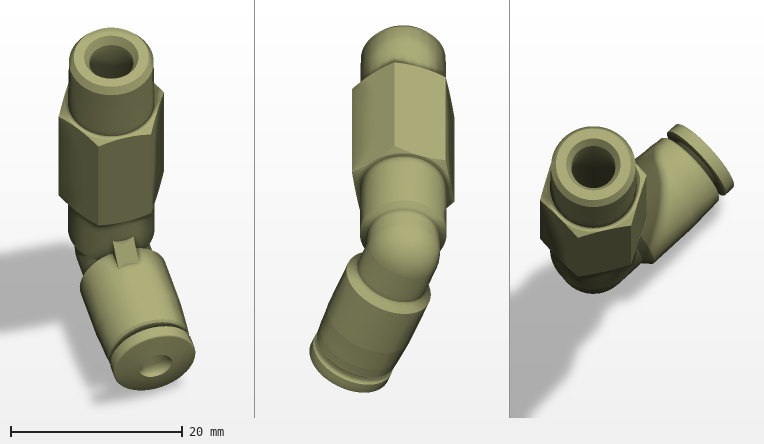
import cadquery as cq
import math

port_diameter = 10.5
overall_height = 41.25
top_z = overall_height - port_diameter / 2

thread_top_diameter = 9.9
thread_base_diameter = 10.15
thread_chamfer_height = 0.85
thread_chamfer_width = 0.58
hex_across_flats = 11.1
hex_bottom_z = 11.45
hex_top_z = 27.47
hex_chamfer_angle = 30.0
body_diameter = 10.15
body_bottom_z = 3.5
elbow_diameter = 8.6

port_start_x = 4.83
taper_start_x = 11.18
taper_line_x = 14.15
port_end_x = 15.75
port_end_chamfer = 0.25
taper_line_diameter = 10.15
port_end_diameter = 9.9
neck_diameter = 6.0
neck_flare_x = 16.15
collar_start_x = 16.62
collar_diameter = 10.0
collar_rim_x = 17.8
collar_rim_radius = 0.25
collar_end_x = 18.45

rib_width = 2.5
rib_corner_x = 7.15

bore_diameter = 5.15
bore_mouth_diameter = 6.35
bore_mouth_angle = 30.0
passage_diameter = 1.4
tube_socket_diameter = 3.95
tube_socket_floor_x = port_start_x


def elbow(diameter, stem_length, port_length):
    """Round elbow: a ball at the corner with one straight leg up Z and one along X."""
    radius = diameter / 2
    ball = cq.Workplane("XY").sphere(radius)
    stem_leg = cq.Workplane("XY").circle(radius).extrude(stem_length)
    port_leg = cq.Workplane("YZ").circle(radius).extrude(port_length)
    return ball.union(stem_leg).union(port_leg)


def stem_body():
    """Plain cylinder under the hexagon, narrowing to the elbow at 45 degrees."""
    step = (body_diameter - elbow_diameter) / 2
    return (
        cq.Workplane("XY", origin=(0, 0, body_bottom_z - step))
        .circle(body_diameter / 2)
        .extrude(hex_bottom_z - body_bottom_z + step)
        .faces("<Z").chamfer(step)
    )


def hexagon():
    """Hexagon with corners on Y, both ends trimmed by a cone that touches the flats."""
    height = hex_top_z - hex_bottom_z
    corner_radius = hex_across_flats / math.sqrt(3)
    flat_radius = hex_across_flats / 2
    corner_drop = (corner_radius - flat_radius) * math.tan(math.radians(hex_chamfer_angle))
    prism = (
        cq.Workplane("XY", origin=(0, 0, hex_bottom_z))
        .transformed(rotate=(0, 0, 90))
        .polygon(6, 2 * corner_radius)
        .extrude(height)
    )
    envelope = (
        cq.Workplane("XZ")
        .moveTo(0, hex_bottom_z)
        .lineTo(flat_radius, hex_bottom_z)
        .lineTo(corner_radius, hex_bottom_z + corner_drop)
        .lineTo(corner_radius, hex_top_z - corner_drop)
        .lineTo(flat_radius, hex_top_z)
        .lineTo(0, hex_top_z)
        .close()
        .revolve(360, (0, 0, 0), (0, 1, 0))
    )
    return prism.intersect(envelope)


def thread():
    """Tapered thread envelope with a chamfered tip."""
    tip_radius = thread_top_diameter / 2
    return (
        cq.Workplane("XZ")
        .moveTo(0, hex_top_z)
        .lineTo(thread_base_diameter / 2, hex_top_z)
        .lineTo(tip_radius, top_z - thread_chamfer_height)
        .lineTo(tip_radius - thread_chamfer_width, top_z)
        .lineTo(0, top_z)
        .close()
        .revolve(360, (0, 0, 0), (0, 1, 0))
    )


def side_port():
    """Turned port: tapered sleeve, narrow neck and release collar with a rounded rim and conical end."""
    lead_in = (port_diameter - elbow_diameter) / 2
    rim_radius = collar_rim_radius
    neck_flare = collar_start_x - neck_flare_x
    neck_radius = neck_diameter / 2
    return (
        cq.Workplane("XZ")
        .moveTo(port_start_x - lead_in, 0)
        .lineTo(port_start_x - lead_in, elbow_diameter / 2)
        .lineTo(port_start_x, port_diameter / 2)
        .lineTo(taper_start_x, port_diameter / 2)
        .lineTo(taper_line_x, taper_line_diameter / 2)
        .lineTo(port_end_x - port_end_chamfer, port_end_diameter / 2)
        .lineTo(port_end_x, port_end_diameter / 2 - port_end_chamfer)
        .lineTo(port_end_x, neck_radius)
        .lineTo(neck_flare_x, neck_radius)
        .lineTo(collar_start_x, neck_radius + neck_flare)
        .lineTo(collar_start_x, collar_diameter / 2)
        .lineTo(collar_rim_x, collar_diameter / 2)
        .radiusArc((collar_rim_x + rim_radius, collar_diameter / 2 - rim_radius), rim_radius)
        .lineTo(collar_end_x, tube_socket_diameter / 2)
        .lineTo(collar_end_x, 0)
        .close()
        .revolve(360, (0, 0, 0), (1, 0, 0))
    )


def corner_rib():
    """45 degree rib between the stem and the port, rooted on the two axes."""
    port_top_z = port_diameter / 2
    corner_sum = rib_corner_x + port_top_z
    return (
        cq.Workplane("XZ")
        .polyline([(0, 0), (corner_sum, 0), (0, corner_sum)])
        .close()
        .extrude(rib_width / 2, both=True)
    )


def stem_bore():
    """Flat-bottomed bore through thread and hexagon, with a countersunk mouth."""
    mouth_width = (bore_mouth_diameter - bore_diameter) / 2
    mouth_depth = mouth_width / math.tan(math.radians(bore_mouth_angle))
    return (
        cq.Workplane("XZ")
        .moveTo(0, hex_bottom_z)
        .lineTo(bore_diameter / 2, hex_bottom_z)
        .lineTo(bore_diameter / 2, top_z - mouth_depth)
        .lineTo(bore_mouth_diameter / 2, top_z)
        .lineTo(0, top_z)
        .close()
        .revolve(360, (0, 0, 0), (0, 1, 0))
    )


def tube_socket():
    """Flat-bottomed socket for the tube, opening at the end of the collar."""
    return (
        cq.Workplane("YZ", origin=(tube_socket_floor_x, 0, 0))
        .circle(tube_socket_diameter / 2)
        .extrude(collar_end_x - tube_socket_floor_x)
    )


outside = (
    elbow(elbow_diameter, body_bottom_z, port_start_x)
    .union(stem_body())
    .union(hexagon())
    .union(thread())
    .union(side_port())
    .union(corner_rib())
)

passage = elbow(passage_diameter, hex_bottom_z, tube_socket_floor_x)
result = outside.cut(stem_bore()).cut(tube_socket()).cut(passage)